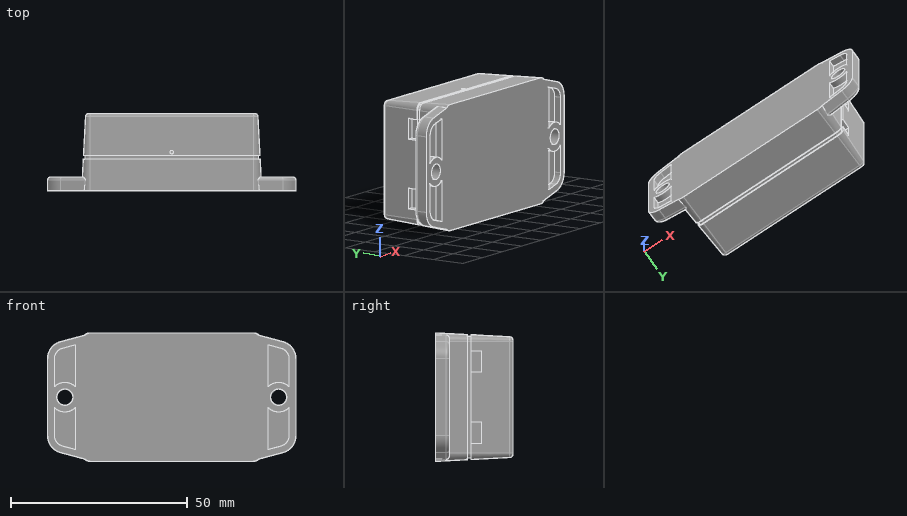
import cadquery as cq
import math

overall_length = 70.4
case_depth = 22.0
draft_angle = 3.0
corner_center_x = 23.1
corner_center_z = 15.8
corner_radius = 2.45
edge_radius = 1.0

groove_start = 9.0
groove_width = 1.0
groove_depth = 0.5
groove_end = groove_start + groove_width

ear_thickness = 4.0
ear_corner_radius = 5.0
ear_corner_center_z = 10.9
ear_slope_angle = 15.0
ear_corner_center_x = overall_length / 2 - ear_corner_radius
mount_hole_x = 30.3
mount_hole_diameter = 4.5

ear_rim = 2.0
pocket_inner_x = 27.3
pocket_depth = 2.0
pocket_corner_radius = ear_corner_radius - ear_rim
mount_boss_diameter = 8.4

latch_notch_width = 6.0
latch_notch_length = 3.0
latch_notch_depth = 2.0
latch_notch_z = 10.1
dot_diameter = 1.0
dot_offset = 1.0
dot_y = groove_end + dot_offset
dot_height = 0.1


def wall_radius(y):
    """Corner radius of the drafted case at distance y from the mounting plane."""
    return corner_radius - y * math.tan(math.radians(draft_angle))


def case_block(y_start, y_end, inset=0.0, taper=0.0):
    """Rounded rectangular block along Y, following the case walls at y_start less an inset."""
    radius = wall_radius(y_start) - inset
    outline = cq.Sketch().rect(2 * (corner_center_z + radius), 2 * (corner_center_x + radius))
    outline = outline.vertices().fillet(radius)
    plane = cq.Workplane("ZX", origin=(0, y_start, 0))
    return plane.placeSketch(outline).extrude(y_end - y_start, taper=taper)


def ear_plate(offset, corner_round, inner_x, depth):
    """Plate with the +X ear's sloped flanks and rounded end, inset by offset and starting at X = inner_x."""
    slope = math.radians(ear_slope_angle)
    end_x = overall_length / 2 - offset
    flank_radius = ear_corner_radius - offset
    flank_x = ear_corner_center_x + flank_radius * math.sin(slope)
    flank_z = ear_corner_center_z + flank_radius * math.cos(slope)
    end_z = flank_z - (end_x - flank_x) * math.tan(slope)
    inner_z = flank_z + (flank_x - inner_x) * math.tan(slope)
    ear = (
        cq.Workplane("XZ")
        .polyline([(inner_x, -inner_z), (end_x, -end_z), (end_x, end_z), (inner_x, inner_z)])
        .close()
        .extrude(-depth)
    )
    return ear.edges("|Y and >X").fillet(corner_round)


def mounting_ear():
    """The solid +X ear, and the pockets and screw hole to cut from it."""
    ear = ear_plate(0, ear_corner_radius, corner_center_x, ear_thickness)
    ear = ear.faces(">Y").edges("not <X").fillet(edge_radius)
    boss = cq.Workplane("XZ").center(mount_hole_x, 0).circle(mount_boss_diameter / 2).extrude(-pocket_depth)
    pocket = ear_plate(ear_rim, pocket_corner_radius, pocket_inner_x, pocket_depth).cut(boss)
    hole = cq.Workplane("XZ").center(mount_hole_x, 0).circle(mount_hole_diameter / 2).extrude(-ear_thickness)
    return ear, pocket.union(hole)


def make_base():
    """Back half of the case with the mounting ears and the neck that forms the groove."""
    base = case_block(0, groove_start, taper=draft_angle)
    base = base.union(case_block(groove_start, groove_end, inset=groove_depth))
    ear, ear_cuts = mounting_ear()
    base = base.union(ear).union(ear.mirror("YZ"))
    return base.cut(ear_cuts).cut(ear_cuts.mirror("YZ"))


def make_cover():
    """Front half of the case with latch notches in both ends and a raised marking dot on the top wall."""
    cover = case_block(groove_end, case_depth, taper=draft_angle)
    cover = cover.faces(">Y").edges().fillet(edge_radius)
    parting_x = corner_center_x + wall_radius(groove_end)
    for side in (-1, 1):
        for z in (-latch_notch_z, latch_notch_z):
            notch_center = (side * parting_x, groove_end + latch_notch_length / 2, z)
            notch = cq.Workplane("XY").box(2 * latch_notch_depth, latch_notch_length, latch_notch_width)
            cover = cover.cut(notch.translate(notch_center))
    wall_z = corner_center_z + wall_radius(dot_y)
    wall_plane = cq.Workplane("XY", origin=(0, dot_y, wall_z)).transformed(rotate=(-draft_angle, 0, 0))
    dot = wall_plane.circle(dot_diameter / 2).extrude(dot_height)
    return cover.union(dot)


base = make_base()
cover = make_cover()

result = cq.Compound.makeCompound([base.val(), cover.val()])